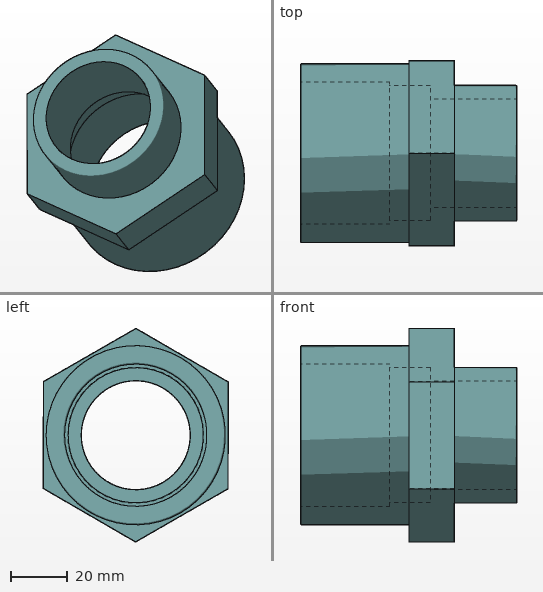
import cadquery as cq

total_length = 76.0
socket_length = 38.0
hex_width = 16.0
hex_end = socket_length + hex_width
socket_depth = 31.15
seat_depth = 45.6

socket_outer_diameter = 63.0
socket_bore_diameter = 50.0
seat_diameter = 47.5
spigot_diameter = 47.8
through_bore_diameter = 38.2

across_flats = 65.05
hex_tilt = 0.1

edge_radius = 0.45


def rod(start, end, diameter):
    """Solid cylinder along X between two positions."""
    return cq.Workplane("YZ", origin=(start, 0, 0)).circle(diameter / 2).extrude(end - start)


def hex_collar():
    """Hexagonal prism with two opposite corners near the Z axis."""
    collar = (
        cq.Workplane("YZ", origin=(socket_length, 0, 0))
        .polygon(6, across_flats, circumscribed=True)
        .extrude(hex_width)
    )
    return collar.rotate((0, 0, 0), (1, 0, 0), hex_tilt)


def socket_shell():
    """Plain pipe socket with both rims of its mouth rounded."""
    shell = rod(0, hex_end, socket_outer_diameter).cut(socket_bore)
    return shell.faces("<X").edges().fillet(edge_radius)


def spigot():
    """Smaller pipe end with its outer rim rounded."""
    return rod(hex_end, total_length, spigot_diameter).faces(">X").edges().fillet(edge_radius)


socket_bore = rod(0, socket_depth, socket_bore_diameter)
seat_bore = rod(0, seat_depth, seat_diameter)
through_bore = rod(0, total_length, through_bore_diameter)

outer_body = socket_shell().union(hex_collar()).union(spigot())
result = outer_body.cut(seat_bore).cut(through_bore)